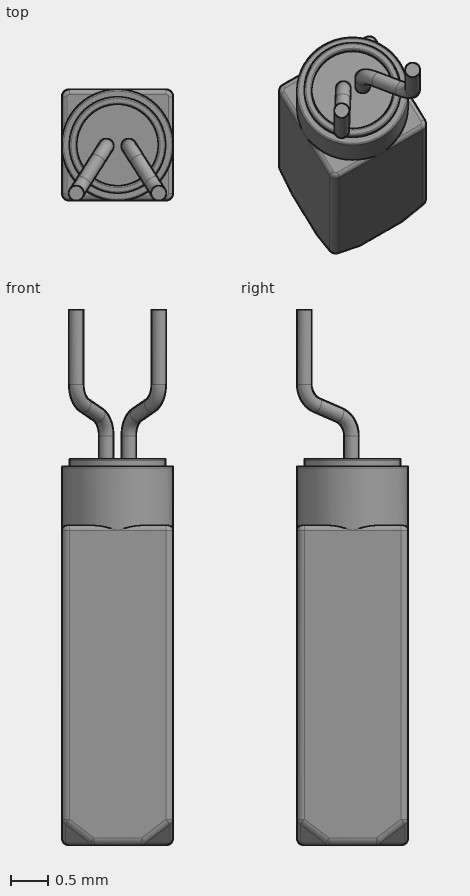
import cadquery as cq
import math

BODY_WIDTH = 1.5
BODY_TOP = 4.3
EDGE_RADIUS = 0.1
TOP_EDGE_RADIUS = 0.065
CORNER_CUT_WIDTH = 0.47
CORNER_CUT_HEIGHT = 0.36

NECK_RADIUS = BODY_WIDTH / 2
NECK_TOP = 5.1
RIM_RADIUS = 0.65
RIM_TOP = 5.2
RECESS_RADIUS = 0.55
RIM_EDGE_RADIUS = 0.02

LEAD_RADIUS = 0.1
LEAD_ROOT = (0.15, -0.015)
LEAD_TIP = (0.555, -NECK_RADIUS + LEAD_RADIUS)
BEND_START = 5.5
BEND_END = 6.2
BEND_RADIUS = 0.3
LEAD_TOP = 7.2
LEAD_EMBED = 0.07


def cut_corner(bar, side_x, side_y):
    """Bevel one bottom corner by removing a three-sided pyramid."""
    half = BODY_WIDTH / 2
    corner = cq.Vector(side_x * half, side_y * half, 0)
    along_x = corner - cq.Vector(side_x * CORNER_CUT_WIDTH, 0, 0)
    along_y = corner - cq.Vector(0, side_y * CORNER_CUT_WIDTH, 0)
    above = corner + cq.Vector(0, 0, CORNER_CUT_HEIGHT)
    triangles = [
        (corner, along_x, along_y),
        (corner, along_x, above),
        (corner, along_y, above),
        (along_x, along_y, above),
    ]
    faces = [cq.Face.makeFromWires(cq.Wire.makePolygon(points, close=True)) for points in triangles]
    return bar.cut(cq.Workplane(cq.Solid.makeSolid(cq.Shell.makeShell(faces))))


def make_body():
    """Rounded square bar with its four bottom corners bevelled and blended."""
    bar = cq.Workplane("XY").rect(BODY_WIDTH, BODY_WIDTH).extrude(BODY_TOP)
    for side_x in (-1, 1):
        for side_y in (-1, 1):
            bar = cut_corner(bar, side_x, side_y)
    bar = bar.edges("not(>Z)").fillet(EDGE_RADIUS)
    return bar.faces(">Z").edges().fillet(TOP_EDGE_RADIUS)


def make_neck():
    """Round neck starting inside the body, topped by a rim around a shallow recess."""
    neck_base = BODY_TOP - TOP_EDGE_RADIUS
    base_plane = cq.Workplane("XY").workplane(offset=neck_base)
    neck = base_plane.circle(NECK_RADIUS).extrude(NECK_TOP - neck_base)
    neck = neck.faces(">Z").edges().fillet(RIM_EDGE_RADIUS)
    rim = (
        base_plane.circle(RIM_RADIUS)
        .circle(RECESS_RADIUS)
        .extrude(RIM_TOP - neck_base)
        .faces(">Z")
        .edges()
        .fillet(RIM_EDGE_RADIUS)
    )
    return neck.union(rim)


def make_lead():
    """Wire swept along two straight ends joined by an S-bend."""
    reach_x = LEAD_TIP[0] - LEAD_ROOT[0]
    reach_y = LEAD_TIP[1] - LEAD_ROOT[1]
    reach = math.hypot(reach_x, reach_y)
    rise = BEND_END - BEND_START

    centre_gap = reach - 2 * BEND_RADIUS
    centre_distance = math.hypot(centre_gap, rise)
    bend_angle = math.atan2(centre_gap, rise) + math.asin(2 * BEND_RADIUS / centre_distance)

    def arc_offset(angle):
        """Sideways shift and rise after turning through an angle from vertical."""
        return BEND_RADIUS * (1 - math.cos(angle)), BEND_RADIUS * math.sin(angle)

    mid_side, mid_rise = arc_offset(bend_angle / 2)
    end_side, end_rise = arc_offset(bend_angle)

    root_z = NECK_TOP - LEAD_EMBED
    bend_plane = cq.Plane(
        origin=(LEAD_ROOT[0], LEAD_ROOT[1], 0),
        xDir=(reach_x, reach_y, 0),
        normal=(reach_y, -reach_x, 0),
    )
    path = (
        cq.Workplane(bend_plane)
        .moveTo(0, root_z)
        .lineTo(0, BEND_START)
        .threePointArc((mid_side, BEND_START + mid_rise), (end_side, BEND_START + end_rise))
        .lineTo(reach - end_side, BEND_END - end_rise)
        .threePointArc((reach - mid_side, BEND_END - mid_rise), (reach, BEND_END))
        .lineTo(reach, LEAD_TOP)
    )
    return cq.Workplane("XY", origin=(*LEAD_ROOT, root_z)).circle(LEAD_RADIUS).sweep(path)


lead = make_lead()
result = make_body().union(make_neck()).union(lead).union(lead.mirror("YZ"))